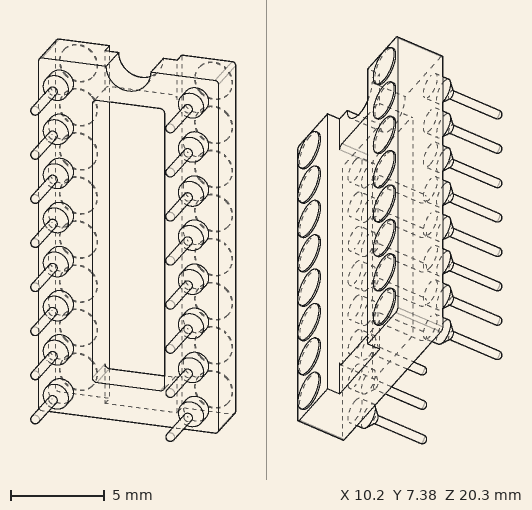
import cadquery as cq
import math

body_width = 10.15
body_height = 20.32
body_depth = 2.82
corner_radius = 0.2

wall_at_ends = 2.03
window_width = 4.06
window_height = body_height - 2 * wall_at_ends
window_corner_radius = 0.25
channel_depth = 0.75

notch_radius = 1.25

pins_per_row = 8
pin_pitch = body_height / pins_per_row
row_spacing = 3 * pin_pitch
overall_depth = 7.38

rim_radius = 1.05
rim_height = 0.1
collar_radius = 0.71
collar_length = 0.83
wire_radius = 0.25
cone_length = collar_radius - wire_radius
tip_length = wire_radius
pin_length = overall_depth - body_depth - rim_height



def make_body():
    block = cq.Workplane("XY").box(body_width, body_depth, body_height, centered=(True, False, True))
    return block.edges("|Y").fillet(corner_radius)


def make_window():
    window = cq.Workplane("XY").box(window_width, body_depth, window_height, centered=(True, False, True))
    return window.edges("|Y").fillet(window_corner_radius)


def make_channel():
    channel = cq.Workplane("XY").box(window_width, channel_depth, body_height, centered=(True, False, True))
    return channel.translate((0, body_depth - channel_depth, 0))


def make_notch():
    circle = cq.Workplane("XZ").center(0, body_height / 2).circle(notch_radius)
    return circle.extrude(-body_depth)


def make_pin():
    """Turn one pin about the Y axis, from its rounded tip to the rim behind the body."""
    tip_start = tip_length - pin_length
    tip_middle = wire_radius * math.sqrt(0.5)
    rim_back = body_depth + rim_height
    profile = (
        cq.Workplane("XY")
        .moveTo(0, -pin_length)
        .threePointArc((tip_middle, tip_start - tip_middle), (wire_radius, tip_start))
        .lineTo(wire_radius, -collar_length - cone_length)
        .lineTo(collar_radius, -collar_length)
        .lineTo(collar_radius, body_depth)
        .lineTo(rim_radius, body_depth)
        .lineTo(rim_radius, rim_back)
        .lineTo(0, rim_back)
        .close()
    )
    return profile.revolve(360, (0, 0, 0), (0, 1, 0))


result = make_body().cut(make_window()).cut(make_channel()).cut(make_notch())

pin = make_pin()
lowest_pin = -(pins_per_row - 1) * pin_pitch / 2
for x in (-row_spacing / 2, row_spacing / 2):
    for index in range(pins_per_row):
        result = result.union(pin.translate((x, 0, lowest_pin + index * pin_pitch)))